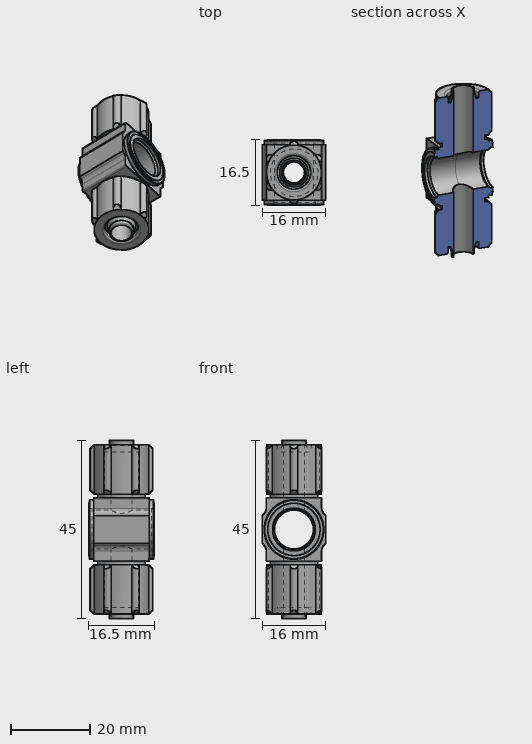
import cadquery as cq
import math

total_height = 45.0

block_width = 14.0
block_height = 16.0
pad_span = 16.0
pad_half_height = 3.5
pad_sweep_radius = 2.05
block_edge_fillet = 0.3

face_span = 16.5
face_diameter = 15.0
face_chamfer = 0.112
lip_diameter = 13.2
lip_height = 0.2
main_bore_diameter = 9.8
counterbore_diameter = 10.8
counterbore_depth = 0.8

collar_diameter = 12.0
nut_diameter = 13.8
nut_bottom = 8.9
nut_top = 21.35
mouth_diameter = 8.4
mouth_fillet = 0.6
mouth_depth = 1.8

rib_count = 6
first_rib_angle = 90
rib_radius = 1.0
rib_centre_radius = 6.95

tube_diameter = 6.1
tube_bore_diameter = 5.3
tube_rim_fillet = 0.3
flare_diameter = 7.25
flare_top = 21.2


def cylinder_z(diameter, bottom, top):
    return cq.Workplane("XY").workplane(offset=bottom).circle(diameter / 2).extrude(top - bottom)


def cylinder_y(diameter, length):
    return cq.Workplane("XZ").circle(diameter / 2).extrude(length / 2, both=True)


def side_pads():
    """Bar across X whose ends blend into the block by a 45 degree edge and a tangent arc."""
    half_block = block_width / 2
    half_pad = pad_span / 2
    sweep_angle = math.radians(45)
    arc_end_x = half_block + pad_sweep_radius * (1 - math.cos(sweep_angle))
    arc_end_z = pad_half_height + half_pad - arc_end_x
    arc_start_z = arc_end_z + pad_sweep_radius * math.sin(sweep_angle)
    arc_mid_x = half_block + pad_sweep_radius * (1 - math.cos(sweep_angle / 2))
    arc_mid_z = arc_start_z - pad_sweep_radius * math.sin(sweep_angle / 2)
    quarter = (
        cq.Workplane("XZ")
        .moveTo(0, 0)
        .lineTo(half_pad, 0)
        .lineTo(half_pad, pad_half_height)
        .lineTo(arc_end_x, arc_end_z)
        .threePointArc((arc_mid_x, arc_mid_z), (half_block, arc_start_z))
        .lineTo(0, arc_start_z)
        .close()
        .extrude(block_width / 2, both=True)
    )
    upper = quarter.union(quarter.mirror("YZ"))
    return upper.union(upper.mirror("XY"))


def central_block():
    """Block with its side pads and the stepped round faces on the Y sides."""
    block = cq.Workplane("XY").box(block_width, block_width, block_height)
    block = block.edges("|Y").fillet(block_edge_fillet)
    faces = cylinder_y(face_diameter, face_span - 2 * lip_height).faces("<Y or >Y").chamfer(face_chamfer)
    lips = cylinder_y(lip_diameter, face_span)
    return block.union(side_pads()).union(faces).union(lips)


def grip_ribs():
    """Round ribs along the nut, cut back at 45 degrees to the nut surface at both ends."""
    tip_radius = rib_centre_radius + rib_radius
    end_chamfer = tip_radius - nut_diameter / 2
    envelope = cylinder_z(2 * tip_radius, nut_bottom, nut_top).faces("<Z or >Z").chamfer(end_chamfer)
    bars = (
        cq.Workplane("XY")
        .workplane(offset=nut_bottom)
        .polarArray(rib_centre_radius, first_rib_angle, 360, rib_count)
        .circle(rib_radius)
        .extrude(nut_top - nut_bottom)
    )
    return bars.intersect(envelope)


def hose_tube():
    """Tube with a rounded rim that widens in a cone down to the floor of the nut mouth."""
    mouth_floor = nut_top - mouth_depth
    tube_radius = tube_diameter / 2
    half_height = total_height / 2
    tube = cylinder_z(tube_diameter, mouth_floor, half_height).faces(">Z").edges().fillet(tube_rim_fillet)
    flare = (
        cq.Workplane("XZ")
        .moveTo(0, mouth_floor)
        .lineTo(flare_diameter / 2, mouth_floor)
        .lineTo(tube_radius, flare_top)
        .lineTo(0, flare_top)
        .close()
        .revolve(360, (0, 0, 0), (0, 1, 0))
    )
    return tube.union(flare)


def hose_end():
    """Upper end: collar rising from the block, ribbed nut with a rounded mouth, and tube."""
    collar = cylinder_z(collar_diameter, 0, nut_bottom)
    nut = cylinder_z(nut_diameter, nut_bottom, nut_top)
    mouth = cylinder_z(mouth_diameter, nut_top - mouth_depth, nut_top)
    nut = nut.cut(mouth)
    nut = nut.faces(">Z").edges(cq.selectors.RadiusNthSelector(0)).fillet(mouth_fillet)
    return nut.union(grip_ribs()).union(collar).union(hose_tube())


def main_bore():
    """Bore along Y with a counterbore at each end that tapers down at 45 degrees."""
    bore_radius = main_bore_diameter / 2
    counterbore_radius = counterbore_diameter / 2
    half_span = face_span / 2
    shoulder = half_span - counterbore_depth
    taper_end = shoulder - (counterbore_radius - bore_radius)
    half_bore = (
        cq.Workplane("XY")
        .polyline([
            (0, 0),
            (bore_radius, 0),
            (bore_radius, taper_end),
            (counterbore_radius, shoulder),
            (counterbore_radius, half_span),
            (0, half_span),
        ])
        .close()
        .revolve(360, (0, 0, 0), (0, 1, 0))
    )
    return half_bore.union(half_bore.mirror("XZ"))


upper_end = hose_end()
body = central_block().union(upper_end).union(upper_end.mirror("XY"))
tube_bore = cylinder_z(tube_bore_diameter, -total_height / 2, total_height / 2)
result = body.cut(main_bore()).cut(tube_bore)